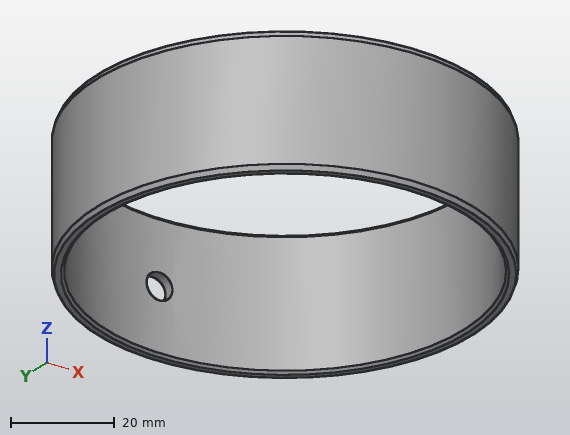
import math

import cadquery as cq

outer_diameter = 90.0
wall = 2.385
width = 30.0
outer_chamfer_length = 1.2
outer_chamfer_angle = 20.0
inner_chamfer = 0.6
hole_diameter = 6.0

outer_radius = outer_diameter / 2
inner_radius = outer_radius - wall
half_width = width / 2
outer_chamfer_depth = outer_chamfer_length * math.tan(math.radians(outer_chamfer_angle))


def bushing_ring():
    """Thin-walled ring about Z, turned from its chamfered wall section."""
    outer_edge = outer_radius - outer_chamfer_depth
    inner_edge = inner_radius + inner_chamfer
    outer_shoulder = half_width - outer_chamfer_length
    inner_shoulder = half_width - inner_chamfer
    section = (
        cq.Workplane("XZ")
        .moveTo(inner_edge, -half_width)
        .lineTo(outer_edge, -half_width)
        .lineTo(outer_radius, -outer_shoulder)
        .lineTo(outer_radius, outer_shoulder)
        .lineTo(outer_edge, half_width)
        .lineTo(inner_edge, half_width)
        .lineTo(inner_radius, inner_shoulder)
        .lineTo(inner_radius, -inner_shoulder)
        .close()
    )
    return section.revolve(360, (0, 0, 0), (0, 1, 0))


def radial_hole():
    """Cylinder from the axis out through the +Y wall at mid width."""
    return cq.Workplane("XZ").circle(hole_diameter / 2).extrude(-outer_diameter)


result = bushing_ring().cut(radial_hole())